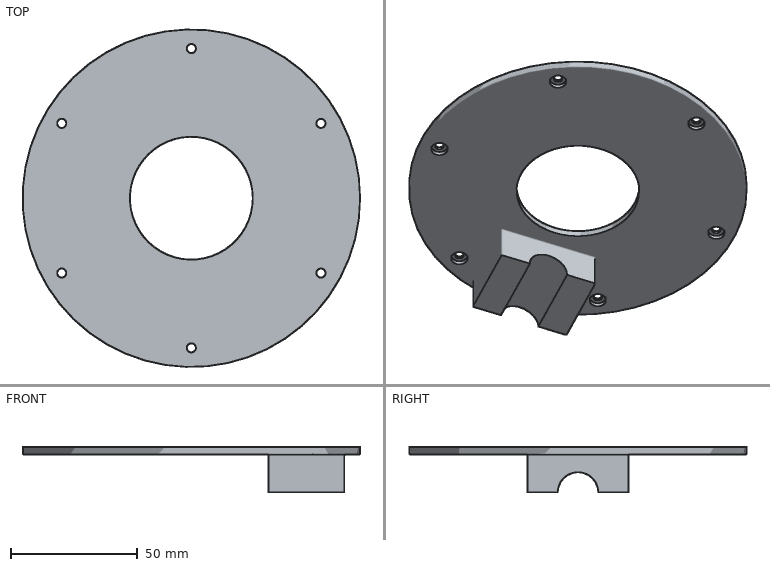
import cadquery as cq

plate_diameter = 133.41
plate_thickness = 3.0
bore_diameter = 48.42

screw_count = 6
screw_diameter = 3.5
screw_edge_distance = 7.6
screw_circle_radius = plate_diameter / 2 - screw_edge_distance
first_screw_angle = 90
head_diameter = 6.5
head_depth = 1.8

block_length = 30.0
block_width = 40.0
block_height = 15.0
block_edge_distance = 6.24
block_end_x = plate_diameter / 2 - block_edge_distance
block_start_x = block_end_x - block_length

channel_diameter = 15.88

edge_radius = 0.5


def make_plate():
    disc = cq.Workplane("XY").circle(plate_diameter / 2).extrude(plate_thickness)
    disc = disc.faces("<Z").edges().fillet(edge_radius)
    bore = cq.Workplane("XY").circle(bore_diameter / 2).extrude(plate_thickness)
    return disc.cut(bore)


def make_block():
    block = cq.Workplane("XY").box(
        block_length, block_width, block_height, centered=(False, True, False)
    )
    block = block.edges("|Z").fillet(edge_radius)
    return block.translate((block_start_x, 0, -block_height))


def round_block_root(body):
    """Fillet the inside corner where the block meets the plate underside."""
    margin = edge_radius
    root_edges = cq.selectors.BoxSelector(
        (block_start_x - margin, -block_width / 2 - margin, -margin),
        (block_end_x + margin, block_width / 2 + margin, margin),
    )
    return body.edges(root_edges).fillet(edge_radius)


def make_channel_cutter():
    start = cq.Workplane("YZ", origin=(block_start_x, 0, -block_height))
    return start.circle(channel_diameter / 2).extrude(block_length)


def make_screw_cutters():
    places = cq.Workplane("XY").polarArray(screw_circle_radius, first_screw_angle, 360, screw_count)
    shanks = places.circle(screw_diameter / 2).extrude(plate_thickness)
    heads = places.circle(head_diameter / 2).extrude(head_depth)
    return shanks.union(heads)


body = round_block_root(make_plate().union(make_block()))
result = body.cut(make_channel_cutter()).cut(make_screw_cutters())